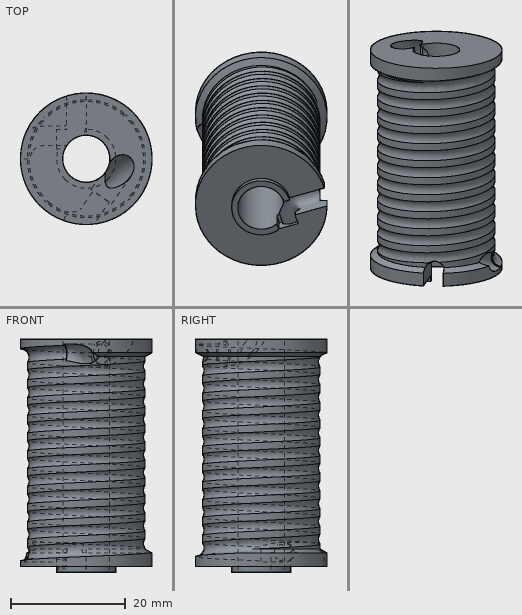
import cadquery as cq
import math

total_height = 40.7
flange_diameter = 23.0
drum_diameter = 20.6
bore_diameter = 8.2
hub_diameter = 10.35
hub_height = 1.0
flange_thickness = 2.35
flange_slope_height = 0.7

groove_radius = 1.5
pitch = 3.1
start_angle = 180.0
end_angle = 250.0
full_turns = 11
groove_start_z = 3.5

passage_diameter = 3.4
bend_radius = 4.0
channel_bend_radius = 2.25
exit_bend_angle = 75.0
exit_straight_length = 3.35
exit_rise_diameter = 4.4
exit_rise_radius = 7.77
exit_rise_angle = 70.0

flange_radius = flange_diameter / 2
drum_radius = drum_diameter / 2
path_radius = flange_radius
passage_radius = passage_diameter / 2
turns = full_turns + (end_angle - start_angle) / 360
groove_end_z = groove_start_z + pitch * turns


def make_spool():
    """Hub, two flanges with sloped inner faces, and the drum, bored through."""
    lower_rim_z = hub_height + flange_thickness
    upper_rim_z = total_height - flange_thickness
    half_section = [
        (0, 0),
        (hub_diameter / 2, 0),
        (hub_diameter / 2, hub_height),
        (flange_radius, hub_height),
        (flange_radius, lower_rim_z),
        (drum_radius, lower_rim_z + flange_slope_height),
        (drum_radius, upper_rim_z - flange_slope_height),
        (flange_radius, upper_rim_z),
        (flange_radius, total_height),
        (0, total_height),
    ]
    spool = cq.Workplane("XZ").polyline(half_section).close().revolve(360, (0, 0), (0, 1))
    bore = cq.Workplane("XY").circle(bore_diameter / 2).extrude(total_height)
    return spool.cut(bore)


def make_groove_turn(turn_share, bottom_z):
    """Round rope along one turn, or a share of a turn, of a right-handed helix."""
    helix = cq.Wire.makeHelix(pitch, pitch * turn_share, path_radius)
    section = cq.Plane(origin=(path_radius, 0, 0), xDir=(-1, 0, 0), normal=(0, 1, 0))
    rope = cq.Workplane(section).circle(groove_radius).sweep(helix, isFrenet=True)
    return rope.rotate((0, 0, 0), (0, 0, 1), start_angle).translate((0, 0, bottom_z))


def make_groove():
    """The groove, turn by turn, ending with a part turn."""
    groove = []
    for turn in range(full_turns + 1):
        turn_share = min(1, turns - turn)
        groove.append(make_groove_turn(turn_share, groove_start_z + pitch * turn))
    return groove


def straight_passage(start, direction, length):
    """Round passage running straight from a point."""
    return cq.Workplane(cq.Solid.makeCylinder(passage_radius, length, start, direction))


def bent_passage(start, direction, center_direction, center_distance, angle, radius=passage_radius):
    """Round passage that leaves a point along direction and bends towards center_direction."""
    plane = cq.Plane(origin=start, xDir=center_direction, normal=direction)
    return (
        cq.Workplane(plane)
        .circle(radius)
        .revolve(angle, (center_distance, 0), (center_distance, 1))
    )


def open_slot(x_range, y_range):
    """Slot cut upwards from the underside to the level of the groove start."""
    slot = cq.Workplane("XY").box(
        x_range[1] - x_range[0], y_range[1] - y_range[0], groove_start_z, centered=False
    )
    return slot.translate((x_range[0], y_range[0], 0))


def make_lower_passage():
    """Passage that turns in from the groove start, grazes the bore and turns out to the +Y rim.

    A slot below its outward run and a pocket beside the hub open it to the underside.
    """
    start = cq.Vector(-path_radius, 0, groove_start_z)
    along_x = cq.Vector(1, 0, 0)
    along_y = cq.Vector(0, 1, 0)
    bend_end = start + (along_x + along_y) * bend_radius
    channel_start = cq.Vector(-passage_radius, bend_end.y + channel_bend_radius, groove_start_z)
    turn_start = channel_start - (along_x + along_y) * channel_bend_radius
    return [
        bent_passage(start, along_y, along_x, bend_radius, 90),
        straight_passage(bend_end, along_x, turn_start.x - bend_end.x),
        bent_passage(turn_start, along_x, along_y, channel_bend_radius, 90),
        straight_passage(channel_start, along_y, flange_radius),
        open_slot((-passage_diameter, 0), (passage_radius, flange_radius)),
        open_slot((-hub_diameter / 2, 0), (passage_radius, passage_radius + passage_diameter)),
    ]


def make_upper_passage():
    """Passage from the groove end, bending inwards and then up to the top face."""
    up = cq.Vector(0, 0, 1)
    angle = math.radians(end_angle)
    outward = cq.Vector(math.cos(angle), math.sin(angle), 0)
    start = outward * path_radius + up * groove_end_z
    tangent = up.cross(outward)

    turn = math.radians(exit_bend_angle)
    direction = tangent * math.cos(turn) - outward * math.sin(turn)
    bend_end = (
        start
        + tangent * (bend_radius * math.sin(turn))
        - outward * (bend_radius * (1 - math.cos(turn)))
    )
    rise_start = bend_end + direction * exit_straight_length
    return [
        bent_passage(start, tangent, outward * -1, bend_radius, exit_bend_angle),
        straight_passage(bend_end, direction, exit_straight_length),
        bent_passage(rise_start, direction, up, exit_rise_radius, exit_rise_angle, exit_rise_diameter / 2),
    ]


drum = make_spool()
for cutter in make_groove() + make_lower_passage() + make_upper_passage():
    drum = drum.cut(cutter)
result = drum.solids()